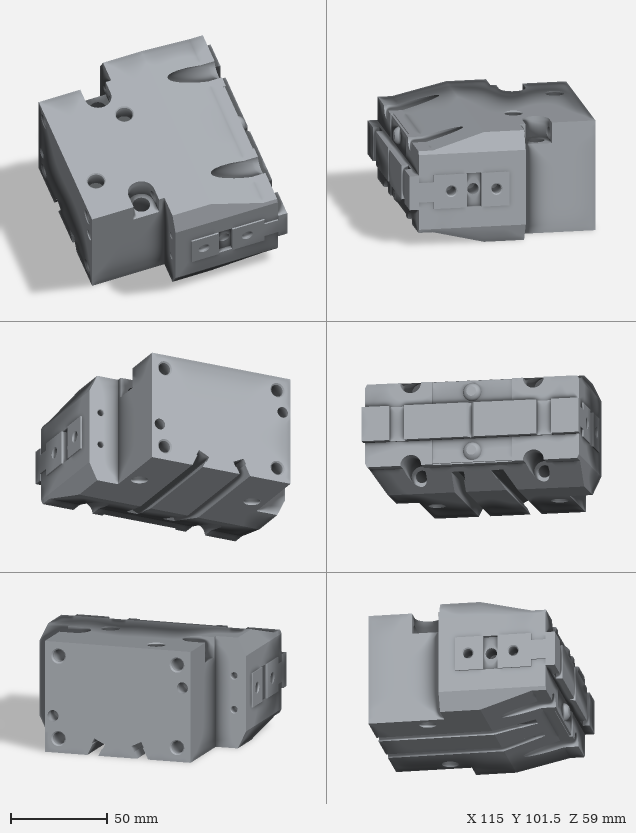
import cadquery as cq
import math


HEIGHT = 59.0
NECK_WIDTH = 80.0
HEAD_WIDTH = 113.4
SHOULDER_Y = 40.0
SLOPE_START_Y = 61.2
COVER_BACK_Y = 89.0
COVER_FRONT_Y = 96.6
COVER_HEIGHT = 43.9
SIDE_CHAMFER_X = 4.6
SIDE_CHAMFER_Z = 9.4

JAW_SPAN = 115.0
JAW_FRONT_Y = 101.5
JAW_BACK_Y = 48.8
JAW_HEIGHT = 18.2
JAW_NECK_HEIGHT = 10.5
JAW_SLOT_X = 39.0
JAW_SLOT_WIDTH = 8.0
JAW_SLOT_DEPTH = 3.6
CENTRE_CHAMFER_X = 1.8
CENTRE_CHAMFER_Y = 2.4
KEYWAY_Y = 67.5
KEYWAY_WIDTH = 7.6
KEYWAY_DEPTH = 3.0
JAW_HOLE_PITCH = 12.0
JAW_THREAD_DIAMETER = 5.1
JAW_THREAD_MOUTH = 6.2
JAW_DOWEL_DIAMETER = 6.0
JAW_HOLE_DEPTH = 11.5

BOLT_X = 32.5
BOLT_Z = 22.0
BOLT_DIAMETER = 6.5
BOLT_MOUTH = 8.0
BOLT_HEAD_DIAMETER = 11.0
BOLT_HEAD_SEAT_Y = 67.8

POCKET_Y = 30.0
POCKET_WIDTH = 14.0
POCKET_DEPTH = 11.0
POCKET_BOLT_DIAMETER = 9.0

DOWEL_X = 35.5
DOWEL_Z = 10.0
DOWEL_DIAMETER = 6.0
DOWEL_DEPTH = 10.0
SHOULDER_HOLE_X = 50.0
SHOULDER_HOLE_Z = 9.0
SHOULDER_HOLE_DIAMETER = 3.3
SHOULDER_HOLE_MOUTH = 4.0
SHOULDER_HOLE_DEPTH = 5.8

AIR_PORTS = [(-17.5, 39.0, 0.0), (17.5, 10.5, 2.8)]
PORT_DIAMETER = 8.7
PORT_MOUTH = 9.9
PORT_DEPTH = 8.0
AIR_HOLE_DIAMETER = 2.0
AIR_HOLE_DEPTH = 5.8

SENSOR_GROOVE_X = 13.7
SENSOR_GROOVE_TILT = 26.0
SENSOR_MOUTH_WIDTH = 5.4
SENSOR_INNER_WIDTH = 6.5
SENSOR_INNER_HEIGHT = 3.2
SENSOR_GROOVE_DEPTH = 8.5
SENSOR_GROOVE_END_Y = 83.5

NIPPLE_Z = 15.6
NIPPLE_DIAMETER = 9.7
NIPPLE_TIP_DIAMETER = 5.2
NIPPLE_HEIGHT = 2.8
RECESS_WIDTH = 42.3
RECESS_DEPTH = 0.6
LEDGE_DEPTH = 1.7
LEDGE_HEIGHT = 0.6

DRILL_POINT_ANGLE = math.radians(118)
FULL_TURN = 360

FRONT_TO_BACK = cq.Vector(0, 1, 0)
DOWN = cq.Vector(0, 0, -1)


def box(x_min, x_max, y_min, y_max, z_min, z_max):
    corner = cq.Vector(x_min, y_min, z_min)
    return cq.Workplane(cq.Solid.makeBox(x_max - x_min, y_max - y_min, z_max - z_min, corner))


def drill(point, direction, diameter, depth):
    """Cylinder with a conical drill point beyond its depth."""
    point = cq.Vector(*point)
    radius = diameter / 2
    tip = radius / math.tan(DRILL_POINT_ANGLE / 2)
    shank = cq.Solid.makeCylinder(radius, depth, point, direction)
    cone = cq.Solid.makeCone(radius, 0, tip, point + direction * depth, direction)
    return cq.Workplane(shank.fuse(cone))


def countersink(point, direction, mouth, diameter):
    """45 degree chamfer at the mouth of a hole."""
    depth = (mouth - diameter) / 2
    return cq.Workplane(cq.Solid.makeCone(mouth / 2, diameter / 2, depth, cq.Vector(*point), direction))


def jaw_outline():
    """Cross-section of a jaw in the YZ plane, with a neck between the covers."""
    half = JAW_HEIGHT / 2
    neck = JAW_NECK_HEIGHT / 2
    upper = [
        (JAW_BACK_Y, half),
        (COVER_BACK_Y, half),
        (COVER_BACK_Y, neck),
        (COVER_FRONT_Y, neck),
        (COVER_FRONT_Y, half),
        (JAW_FRONT_Y, half),
    ]
    lower = [(y, -z) for y, z in reversed(upper)]
    return cq.Workplane("YZ").polyline(upper + lower).close()


def housing_blank():
    half_height = HEIGHT / 2
    half_cover = COVER_HEIGHT / 2
    half_head = HEAD_WIDTH / 2
    neck = box(-NECK_WIDTH / 2, NECK_WIDTH / 2, 0, SHOULDER_Y, -half_height, half_height)

    upper = [
        (SHOULDER_Y, half_height),
        (SLOPE_START_Y, half_height),
        (COVER_BACK_Y, half_cover),
        (COVER_FRONT_Y, half_cover),
    ]
    lower = [(y, -z) for y, z in reversed(upper)]
    side_profile = cq.Workplane("YZ").polyline(upper + lower).close().extrude(half_head, both=True)

    edge_x = half_head - SIDE_CHAMFER_X
    edge_z = half_height - SIDE_CHAMFER_Z
    octagon = [
        (edge_x, half_height), (half_head, edge_z), (half_head, -edge_z), (edge_x, -half_height),
        (-edge_x, -half_height), (-half_head, -edge_z), (-half_head, edge_z), (-edge_x, half_height),
    ]
    end_profile = cq.Workplane("XZ").polyline(octagon).close().extrude(-COVER_FRONT_Y)
    return neck.union(side_profile.intersect(end_profile))


def cut_bolt_holes(body):
    for x in (-BOLT_X, BOLT_X):
        for z in (-BOLT_Z, BOLT_Z):
            mouth = (x, 0, z)
            hole = cq.Solid.makeCylinder(BOLT_DIAMETER / 2, COVER_FRONT_Y, cq.Vector(*mouth), FRONT_TO_BACK)
            seat = cq.Vector(x, BOLT_HEAD_SEAT_Y, z)
            head_length = COVER_FRONT_Y - BOLT_HEAD_SEAT_Y
            head = cq.Solid.makeCylinder(BOLT_HEAD_DIAMETER / 2, head_length, seat, FRONT_TO_BACK)
            body = body.cut(cq.Workplane(hole.fuse(head)))
            body = body.cut(countersink(mouth, FRONT_TO_BACK, BOLT_MOUTH, BOLT_DIAMETER))
    return body


def cut_side_pockets(body):
    top = HEIGHT / 2
    radius = POCKET_WIDTH / 2
    floor = top - POCKET_DEPTH
    for side in (-1, 1):
        centre_x = side * BOLT_X
        inner, outer = sorted((centre_x, side * NECK_WIDTH / 2))
        opening = box(inner, outer, POCKET_Y - radius, POCKET_Y + radius, floor, top)
        axis_point = cq.Vector(centre_x, POCKET_Y, top)
        round_end = cq.Solid.makeCylinder(radius, POCKET_DEPTH, axis_point, DOWN)
        hole = cq.Solid.makeCylinder(POCKET_BOLT_DIAMETER / 2, HEIGHT, axis_point, DOWN)
        body = body.cut(opening).cut(cq.Workplane(round_end)).cut(cq.Workplane(hole))
    return body


def cut_blind_holes(body):
    for side in (-1, 1):
        dowel = (side * DOWEL_X, 0, side * DOWEL_Z)
        body = body.cut(drill(dowel, FRONT_TO_BACK, DOWEL_DIAMETER, DOWEL_DEPTH))
        for z in (-SHOULDER_HOLE_Z, SHOULDER_HOLE_Z):
            mouth = (side * SHOULDER_HOLE_X, SHOULDER_Y, z)
            body = body.cut(drill(mouth, FRONT_TO_BACK, SHOULDER_HOLE_DIAMETER, SHOULDER_HOLE_DEPTH))
            body = body.cut(countersink(mouth, FRONT_TO_BACK, SHOULDER_HOLE_MOUTH, SHOULDER_HOLE_DIAMETER))
    return body


def cut_air_ports(body):
    top = HEIGHT / 2
    for x, y, air_hole_offset in AIR_PORTS:
        mouth = (x, y, top)
        port = cq.Solid.makeCylinder(PORT_DIAMETER / 2, PORT_DEPTH, cq.Vector(*mouth), DOWN)
        air_hole_start = (x, y - air_hole_offset, top - PORT_DEPTH)
        body = body.cut(cq.Workplane(port))
        body = body.cut(countersink(mouth, DOWN, PORT_MOUTH, PORT_DIAMETER))
        body = body.cut(drill(air_hole_start, DOWN, AIR_HOLE_DIAMETER, AIR_HOLE_DEPTH))
    return body


def cut_sensor_grooves(body):
    half_mouth = SENSOR_MOUTH_WIDTH / 2
    half_inner = SENSOR_INNER_WIDTH / 2
    inner_start = SENSOR_GROOVE_DEPTH - SENSOR_INNER_HEIGHT
    mouth = box(-half_mouth, half_mouth, 0, SENSOR_GROOVE_END_Y, -SENSOR_GROOVE_DEPTH, inner_start)
    inner = box(-half_inner, half_inner, 0, SENSOR_GROOVE_END_Y, inner_start, SENSOR_GROOVE_DEPTH)
    groove = mouth.union(inner)
    for side in (-1, 1):
        tilted = groove.rotate((0, 0, 0), (0, 1, 0), -side * SENSOR_GROOVE_TILT)
        body = body.cut(tilted.translate((side * SENSOR_GROOVE_X, 0, -HEIGHT / 2)))
    return body


def add_nipples(body):
    half_width = RECESS_WIDTH / 2
    half_cover = COVER_HEIGHT / 2
    neck = JAW_NECK_HEIGHT / 2
    floor_y = COVER_FRONT_Y - RECESS_DEPTH
    ledge_y = COVER_FRONT_Y - LEDGE_DEPTH
    base = NIPPLE_DIAMETER / 2
    tip = NIPPLE_TIP_DIAMETER / 2
    centre_setback = (base**2 - tip**2 - NIPPLE_HEIGHT**2) / (2 * NIPPLE_HEIGHT)
    sphere_radius = math.hypot(base, centre_setback)
    middle_height = NIPPLE_HEIGHT / 2
    middle = math.sqrt(sphere_radius**2 - (centre_setback + middle_height) ** 2)
    for side in (-1, 1):
        low, high = sorted((side * neck, side * half_cover))
        body = body.cut(box(-half_width, half_width, floor_y, COVER_FRONT_Y, low, high))
        low, high = sorted((side * (half_cover - LEDGE_HEIGHT), side * half_cover))
        body = body.cut(box(-half_width, half_width, ledge_y, COVER_FRONT_Y, low, high))
        nipple = (
            cq.Workplane("XY", origin=(0, floor_y, side * NIPPLE_Z))
            .lineTo(base, 0)
            .threePointArc((middle, middle_height), (tip, NIPPLE_HEIGHT))
            .lineTo(0, NIPPLE_HEIGHT)
            .close()
            .revolve(FULL_TURN, (0, 0, 0), (0, 1, 0))
        )
        body = body.union(nipple)
    return body


def make_housing():
    body = housing_blank()
    body = body.cut(jaw_outline().extrude(JAW_SPAN / 2, both=True))
    body = cut_bolt_holes(body)
    body = cut_side_pockets(body)
    body = cut_blind_holes(body)
    body = cut_air_ports(body)
    body = cut_sensor_grooves(body)
    return add_nipples(body)


def make_jaw(side):
    """Jaw on the +X (side = 1) or -X (side = -1) half of the housing."""
    half_height = JAW_HEIGHT / 2
    end_x = side * JAW_SPAN / 2
    inward = cq.Vector(-side, 0, 0)
    body = jaw_outline().extrude(end_x)

    slot_x = side * JAW_SLOT_X
    half_slot = JAW_SLOT_WIDTH / 2
    slot_floor = JAW_FRONT_Y - JAW_SLOT_DEPTH
    slot = box(slot_x - half_slot, slot_x + half_slot, slot_floor, JAW_FRONT_Y, -half_height, half_height)
    body = body.cut(slot)

    centre_chamfer = (
        cq.Workplane("XY")
        .polyline([
            (0, JAW_FRONT_Y),
            (side * CENTRE_CHAMFER_X, JAW_FRONT_Y),
            (0, JAW_FRONT_Y - CENTRE_CHAMFER_Y),
        ])
        .close()
        .extrude(half_height, both=True)
    )
    body = body.cut(centre_chamfer)

    keyway_floor = end_x - side * KEYWAY_DEPTH
    low, high = sorted((keyway_floor, end_x))
    half_key = KEYWAY_WIDTH / 2
    keyway = box(low, high, KEYWAY_Y - half_key, KEYWAY_Y + half_key, -half_height, half_height)
    body = body.cut(keyway)
    body = body.cut(drill((keyway_floor, KEYWAY_Y, 0), inward, JAW_DOWEL_DIAMETER, JAW_HOLE_DEPTH))

    for y in (KEYWAY_Y - JAW_HOLE_PITCH, KEYWAY_Y + JAW_HOLE_PITCH):
        mouth = (end_x, y, 0)
        body = body.cut(drill(mouth, inward, JAW_THREAD_DIAMETER, JAW_HOLE_DEPTH))
        body = body.cut(countersink(mouth, inward, JAW_THREAD_MOUTH, JAW_THREAD_DIAMETER))
    return body


housing = make_housing()
jaws = [make_jaw(side) for side in (-1, 1)]

result = cq.Compound.makeCompound([housing.val(), *[jaw.val() for jaw in jaws]])